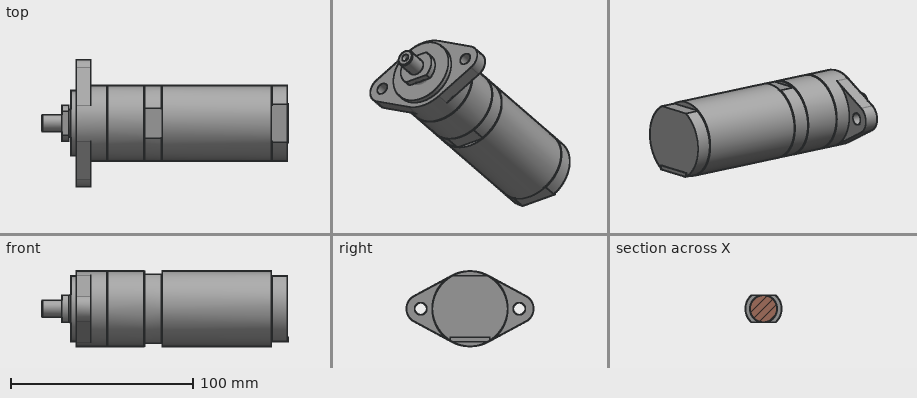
import cadquery as cq
import math

total_length = 135.2
body_diameter = 41.5
body_radius = body_diameter / 2

shaft_diameter = 9.5
shaft_chamfer = 0.5
centre_mouth_diameter = 4.0
centre_pilot_diameter = 1.6
centre_pilot_length = 2.0
centre_cone_angle = 60.0

collar_start = 11.1
collar_end = 14.9
collar_diameter = 20.0
collar_across_flats = 15.0
neck_diameter = 15.0
neck_flare_diameter = 16.0
spigot_start = 16.0
spigot_diameter = 36.0

flange_start = 18.8
flange_thickness = 8.1
flange_hole_spacing = 54.1
flange_hole_diameter = 6.5
flange_width = 69.9
ear_radius = (flange_width - flange_hole_spacing) / 2

groove_width = 0.4
groove_depth = 0.2
front_groove_start = 35.7

mid_flats_start = 56.4
mid_flats_end = 66.0
tail_start = 126.0
mid_across_flats = 38.0
tail_across_flats = 36.0
strip_height = 0.4
strip_width = 21.6
strip_depth = 2.3
tail_face = total_length - strip_height


def cylinder(start, end, diameter):
    """Cylinder on the X axis between two stations."""
    return cq.Workplane("YZ", origin=(start, 0, 0)).circle(diameter / 2).extrude(end - start)


def flatted_space(start, end, across_flats):
    """Material to remove above and below a pair of flats parallel to the XY plane."""
    length = end - start
    middle = (start + end) / 2
    outer = cq.Workplane("XY").box(length, 2 * body_diameter, 2 * body_diameter)
    kept = cq.Workplane("XY").box(length, 2 * body_diameter, across_flats)
    return outer.cut(kept).translate((middle, 0, 0))


def make_shaft():
    shaft = cylinder(0, collar_start, shaft_diameter)
    return shaft.faces("<X").chamfer(shaft_chamfer)


def make_centre_hole():
    """Conical mouth followed by a small pilot hole."""
    mouth_radius = centre_mouth_diameter / 2
    pilot_radius = centre_pilot_diameter / 2
    cone_length = (mouth_radius - pilot_radius) / math.tan(math.radians(centre_cone_angle / 2))
    pilot_end = cone_length + centre_pilot_length
    half_section = [
        (0, 0),
        (0, mouth_radius),
        (cone_length, pilot_radius),
        (pilot_end, pilot_radius),
        (pilot_end, 0),
    ]
    return cq.Workplane("XY").polyline(half_section).close().revolve(360, (0, 0, 0), (1, 0, 0))


def make_collar():
    collar = cylinder(collar_start, collar_end, collar_diameter)
    return collar.cut(flatted_space(collar_start, collar_end, collar_across_flats))


def make_neck():
    """Plain neck with a concave fillet where it meets the spigot."""
    neck_radius = neck_diameter / 2
    flare_radius = neck_flare_diameter / 2
    fillet = flare_radius - neck_radius
    half_section = (
        cq.Workplane("XY")
        .moveTo(collar_end, 0)
        .lineTo(collar_end, neck_radius)
        .lineTo(spigot_start - fillet, neck_radius)
        .tangentArcPoint((spigot_start, flare_radius), relative=False)
        .lineTo(spigot_start, 0)
        .close()
    )
    return half_section.revolve(360, (0, 0, 0), (1, 0, 0))


def make_flange():
    """Flange whose straight edges are tangent to the body circle and to both ear circles.

    Between the tangent points the outline cuts straight across; the body rounds out that stretch.
    """
    ear_centre = flange_hole_spacing / 2
    sine = (body_radius - ear_radius) / ear_centre
    cosine = math.sqrt(1 - sine**2)
    body_y = body_radius * sine
    body_z = body_radius * cosine
    ear_y = ear_centre + ear_radius * sine
    ear_z = ear_radius * cosine
    ear_tip = ear_centre + ear_radius

    outline = (
        cq.Workplane("YZ", origin=(flange_start, 0, 0))
        .moveTo(-body_y, body_z)
        .lineTo(body_y, body_z)
        .lineTo(ear_y, ear_z)
        .threePointArc((ear_tip, 0), (ear_y, -ear_z))
        .lineTo(body_y, -body_z)
        .lineTo(-body_y, -body_z)
        .lineTo(-ear_y, -ear_z)
        .threePointArc((-ear_tip, 0), (-ear_y, ear_z))
        .close()
    )
    flange = outline.extrude(flange_thickness)
    holes = (
        cq.Workplane("YZ", origin=(flange_start, 0, 0))
        .pushPoints([(-ear_centre, 0), (ear_centre, 0)])
        .circle(flange_hole_diameter / 2)
        .extrude(flange_thickness)
    )
    return flange.cut(holes)


def make_groove(start):
    end = start + groove_width
    ring = cylinder(start, end, body_diameter)
    return ring.cut(cylinder(start, end, body_diameter - 2 * groove_depth))


def make_body():
    body = cylinder(flange_start, tail_face, body_diameter)
    groove_starts = [
        front_groove_start,
        mid_flats_start - groove_width,
        mid_flats_end - groove_width,
        tail_start,
    ]
    for start in groove_starts:
        body = body.cut(make_groove(start))
    body = body.cut(flatted_space(mid_flats_start, mid_flats_end, mid_across_flats))
    return body.cut(flatted_space(tail_start, tail_face, tail_across_flats))


def make_tail_strip():
    """Strip along the lower flat, trimmed to the round of the body."""
    strip_z = (strip_depth - tail_across_flats) / 2
    strip_x = tail_face + strip_height / 2
    strip = cq.Workplane("XY").box(strip_height, strip_width, strip_depth)
    strip = strip.translate((strip_x, 0, strip_z))
    return strip.intersect(cylinder(tail_face, total_length, body_diameter))


result = make_body()
for section in (
    make_flange(),
    cylinder(spigot_start, flange_start, spigot_diameter),
    make_neck(),
    make_collar(),
    make_shaft(),
    make_tail_strip(),
):
    result = result.union(section)
result = result.cut(make_centre_hole()).clean()